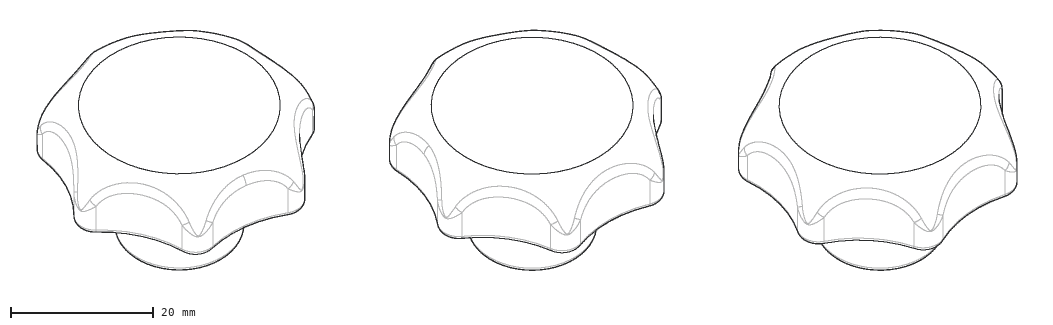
import cadquery as cq
import math

LOBE_COUNT = 7
TIP_RADIUS = 20.0
LOBE_RADIUS = 3.0
VALLEY_RADIUS = 17.0
HUB_HEIGHT = 13.0
HUB_TOP_RADIUS = 9.3
HUB_BOTTOM_RADIUS = 9.05
HUB_EDGE_FILLET = 0.98
HEAD_EDGE_FILLET = 0.9
CROWN_START_HEIGHT = 16.13
CROWN_RADIUS = 20.05
CROWN_EDGE_FILLET = 1.55
CAP_SEAT_HEIGHT = 23.55
CAP_RADIUS = 14.15
TOTAL_HEIGHT = 25.0
SEAT_CLEARANCE = 0.2

HALF_PITCH = math.pi / LOBE_COUNT
LOBE_CENTER_RADIUS = TIP_RADIUS - LOBE_RADIUS
LOBE_ALONG = LOBE_CENTER_RADIUS * math.cos(HALF_PITCH)
LOBE_ACROSS = LOBE_CENTER_RADIUS * math.sin(HALF_PITCH)
VALLEY_GAP = VALLEY_RADIUS - LOBE_ALONG
SCALLOP_RADIUS = (VALLEY_GAP**2 + LOBE_ACROSS**2 - LOBE_RADIUS**2) / (2 * (LOBE_RADIUS - VALLEY_GAP))
SCALLOP_CENTER_RADIUS = VALLEY_RADIUS + SCALLOP_RADIUS
TANGENT_TILT = math.asin(LOBE_ACROSS / (SCALLOP_RADIUS + LOBE_RADIUS))
TANGENT_ALONG = SCALLOP_CENTER_RADIUS - SCALLOP_RADIUS * math.cos(TANGENT_TILT)
TANGENT_ACROSS = SCALLOP_RADIUS * math.sin(TANGENT_TILT)
TANGENT_RADIUS = math.hypot(TANGENT_ALONG, TANGENT_ACROSS)
TANGENT_ANGLE = math.atan2(TANGENT_ACROSS, TANGENT_ALONG)

DOME_RISE = TOTAL_HEIGHT - CAP_SEAT_HEIGHT
DOME_RADIUS = (CAP_RADIUS**2 + DOME_RISE**2) / (2 * DOME_RISE)


def polar(radius, angle):
    return (radius * math.cos(angle), radius * math.sin(angle))


def make_lobed_prism():
    """Seven-lobed prism with a scallop facing +X and a lobe facing -X."""
    outline = cq.Workplane("XY", origin=(0, 0, HUB_HEIGHT)).moveTo(*polar(TANGENT_RADIUS, -TANGENT_ANGLE))
    for index in range(LOBE_COUNT):
        valley = 2 * HALF_PITCH * index
        tip = valley + HALF_PITCH
        next_valley = tip + HALF_PITCH
        outline = outline.threePointArc(
            polar(VALLEY_RADIUS, valley), polar(TANGENT_RADIUS, valley + TANGENT_ANGLE)
        )
        outline = outline.threePointArc(
            polar(TIP_RADIUS, tip), polar(TANGENT_RADIUS, next_valley - TANGENT_ANGLE)
        )
    return outline.close().extrude(CAP_SEAT_HEIGHT - HUB_HEIGHT)


def make_crown():
    """Revolved envelope: straight wall, then an arc tangent to it up to the cap seat."""
    run = CROWN_RADIUS - CAP_RADIUS
    rise = CAP_SEAT_HEIGHT - CROWN_START_HEIGHT
    arc_radius = (run**2 + rise**2) / (2 * run)
    mid_angle = math.asin(rise / arc_radius) / 2
    arc_middle = (
        CROWN_RADIUS - arc_radius * (1 - math.cos(mid_angle)),
        CROWN_START_HEIGHT + arc_radius * math.sin(mid_angle),
    )
    return (
        cq.Workplane("XZ")
        .moveTo(0, HUB_HEIGHT)
        .lineTo(CROWN_RADIUS, HUB_HEIGHT)
        .lineTo(CROWN_RADIUS, CROWN_START_HEIGHT)
        .threePointArc(arc_middle, (CAP_RADIUS, CAP_SEAT_HEIGHT))
        .lineTo(0, CAP_SEAT_HEIGHT)
        .close()
        .revolve(360, (0, 0, 0), (0, 1, 0))
    )


def make_head():
    head = make_lobed_prism().intersect(make_crown())
    head = head.faces("<Z").edges().fillet(HEAD_EDGE_FILLET)
    crown_edges = head.edges(
        cq.selectors.BoxSelector(
            (-CROWN_RADIUS, -CROWN_RADIUS, HUB_HEIGHT + 2 * HEAD_EDGE_FILLET),
            (CROWN_RADIUS, CROWN_RADIUS, CAP_SEAT_HEIGHT - SEAT_CLEARANCE),
        )
    )
    rim = crown_edges.filter(lambda edge: edge.geomType() not in ("LINE", "CIRCLE"))
    return rim.fillet(CROWN_EDGE_FILLET)


def make_hub():
    hub = (
        cq.Workplane("XY")
        .circle(HUB_BOTTOM_RADIUS)
        .workplane(offset=HUB_HEIGHT)
        .circle(HUB_TOP_RADIUS)
        .loft(ruled=True)
    )
    return hub.faces("<Z").edges().fillet(HUB_EDGE_FILLET)


def make_knob():
    return make_head().union(make_hub())


def make_cap():
    """Domed disc resting on the flat seat in the middle of the crown."""
    return (
        cq.Workplane("XZ")
        .moveTo(0, CAP_SEAT_HEIGHT)
        .lineTo(CAP_RADIUS, CAP_SEAT_HEIGHT)
        .radiusArc((0, TOTAL_HEIGHT), -DOME_RADIUS)
        .close()
        .revolve(360, (0, 0, 0), (0, 1, 0))
    )


knob = make_knob()
cap = make_cap()
result = cq.Compound.makeCompound([knob.val(), cap.val()])